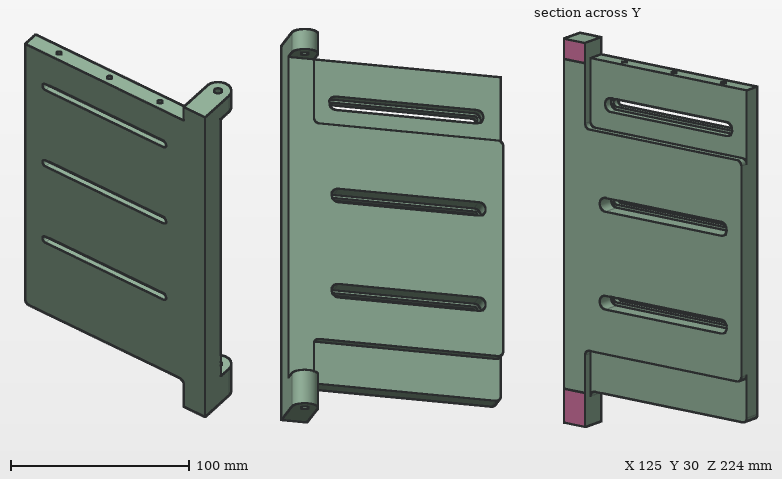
import cadquery as cq
import math

total_width = 125
total_height = 224
column_width = 15
knuckle_radius = column_width / 2
knuckle_reach = 30
top_knuckle_height = 12
bottom_knuckle_height = 20
pin_diameter = 4.4

column_left = total_width - column_width
top_setback = 10
panel_bottom = bottom_knuckle_height
panel_top = total_height - top_setback
front_thickness = 10
full_thickness = 15
pad_bottom = 45
pad_top = 174
corner_radius = 3

slot_length = 86
slot_width = 4.5
slot_recess_width = 8
slot_lip_thickness = 4.5
slot_pitch = 57
slot_count = 3
lowest_slot_z = 75

edge_hole_diameter = 2.8
edge_hole_depth = 15
drill_point_angle = 118
edge_hole_pitch = 35
edge_hole_count = 3

panel_center_x = column_left / 2


def box(x_range, y_range, z_range):
    """Axis-aligned box between the given (low, high) limits."""
    (x0, x1), (y0, y1), (z0, z1) = x_range, y_range, z_range
    return cq.Workplane("XY").box(x1 - x0, y1 - y0, z1 - z0, centered=False).translate((x0, y0, z0))


def round_edge(body, x, y_range, z):
    """Round the edge that runs along Y at the given x and z."""
    y_middle = sum(y_range) / 2
    edge = cq.selectors.NearestToPointSelector((x, y_middle, z))
    return body.edges("|Y").edges(edge).fillet(corner_radius)


def knuckle(z_bottom, height):
    """Hinge lug with a rounded back end and a pin hole along Z."""
    pin_x = column_left + knuckle_radius
    pin_y = knuckle_reach - knuckle_radius
    lug = box((column_left, total_width), (0, pin_y), (z_bottom, z_bottom + height))
    plane = cq.Workplane("XY", origin=(pin_x, pin_y, z_bottom))
    rounded_end = plane.circle(knuckle_radius).extrude(height)
    pin_hole = plane.circle(pin_diameter / 2).extrude(height)
    return lug.union(rounded_end).cut(pin_hole)


def layer(y_range, panel_z_range, rounded_z):
    """Slice of column and panel, with the panel corners at each rounded_z level rounded."""
    body = box((column_left, total_width), y_range, (0, total_height))
    body = body.union(box((0, column_left), y_range, panel_z_range))
    for z in rounded_z:
        for x in (0, column_left):
            body = round_edge(body, x, y_range, z)
    return body


def slots():
    """Row of round-ended slots along X, each widened behind a thin lip at the front face."""
    recess_growth = slot_recess_width - slot_width
    front = cq.Workplane("XZ", origin=(panel_center_x, 0, lowest_slot_z))
    behind_lip = front.workplane(offset=-slot_lip_thickness)
    slot = front.slot2D(slot_length, slot_width).extrude(-full_thickness)
    recess = behind_lip.slot2D(slot_length + recess_growth, slot_recess_width).extrude(
        slot_lip_thickness - full_thickness
    )
    stepped_slot = slot.union(recess)
    cutters = stepped_slot
    for index in range(1, slot_count):
        cutters = cutters.union(stepped_slot.translate((0, 0, index * slot_pitch)))
    return cutters


def edge_holes():
    """Row of blind holes with conical drill-point ends, going down from the panel's top edge."""
    radius = edge_hole_diameter / 2
    point_depth = radius / math.tan(math.radians(drill_point_angle / 2))
    profile = [
        (0, 0),
        (radius, 0),
        (radius, -edge_hole_depth),
        (0, -edge_hole_depth - point_depth),
    ]
    hole = cq.Workplane("XZ").polyline(profile).close().revolve(360, (0, 0, 0), (0, 1, 0))
    plane = cq.Workplane("XY", origin=(panel_center_x, front_thickness / 2, panel_top))
    centers = plane.rarray(edge_hole_pitch, 1, edge_hole_count, 1)
    return centers.eachpoint(lambda location: hole.val().moved(location))


front_layer = layer((0, front_thickness), (panel_bottom, panel_top), [panel_bottom])
back_layer = layer((front_thickness, full_thickness), (pad_bottom, pad_top), [pad_bottom, pad_top])

result = front_layer.union(back_layer)
result = result.union(knuckle(0, bottom_knuckle_height))
result = result.union(knuckle(total_height - top_knuckle_height, top_knuckle_height))
result = result.cut(slots()).cut(edge_holes())